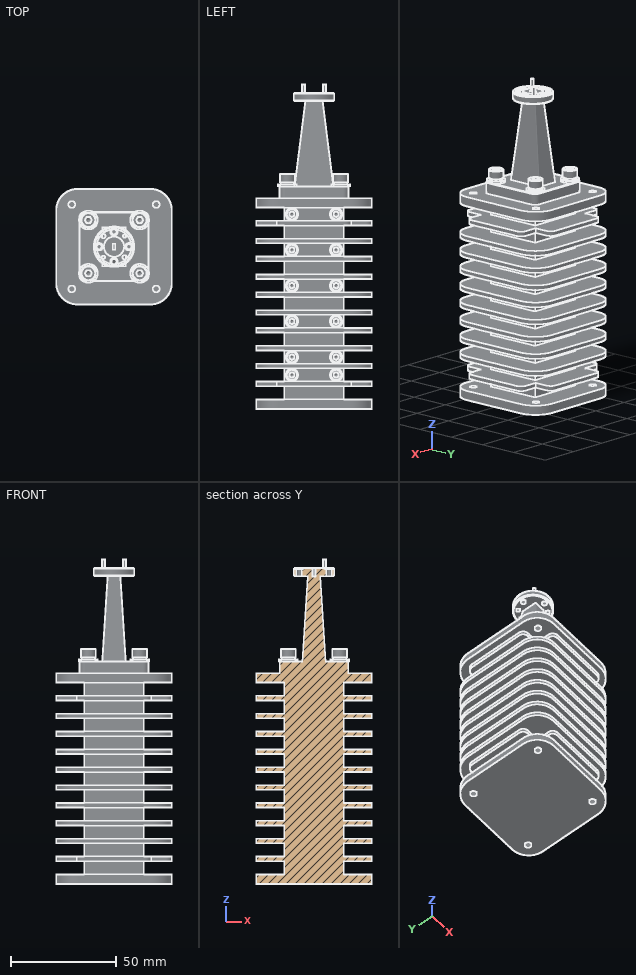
import cadquery as cq
import math

PLATE_WIDTH = 55.0
TOTAL_HEIGHT = 154.0

PLATE_THICKNESS = 4.6
PLATE_CORNER_RADIUS = 10.3
PLATE_HOLE_OFFSET = 20.0
PLATE_HOLE_DIAMETER = 3.2
COLUMN_WIDTH = 28.3
COLUMN_HEIGHT = 90.8

FIN_COUNT = 10
FIN_THICKNESS = 2.3
FIN_GAP = (COLUMN_HEIGHT - FIN_COUNT * FIN_THICKNESS) / (FIN_COUNT + 1)
FIN_PITCH = FIN_GAP + FIN_THICKNESS
NOTCH_OFFSET = 17.5
NOTCH_CORNER_RADIUS = 3.0

SIDE_SCREW_GAPS = (1, 2, 4, 6, 8, 10)
SIDE_SCREW_Y = 10.5
SIDE_BORE_DIAMETER = 5.8
SIDE_BORE_DEPTH = 3.1
SIDE_HEAD_DIAMETER = 4.8
SIDE_HEX_DIAMETER = 2.8
SIDE_HEX_DEPTH = 1.5

BLOCK_WIDTH = 33.0
BLOCK_HEIGHT = 5.5
BLOCK_CORNER_RADIUS = 2.8
BLOCK_CHAMFER = 0.3

CAP_SCREW_X = 12.2
CAP_SCREW_Y = 12.6
WASHER_DIAMETER = 9.0
WASHER_THICKNESS = 1.0
LOCK_WASHER_DIAMETER = 6.5
LOCK_WASHER_THICKNESS = 1.0
HEAD_DIAMETER = 7.1
HEAD_HEIGHT = 4.2
HEAD_CHAMFER = 0.3
HEX_DIAMETER = 3.4
HEX_DEPTH = 2.0

HEX_SIDES = 6
DRILL_POINT_ANGLE = 118

HORN_BASE_X = 11.2
HORN_BASE_Y = 18.5
HORN_TOP_X = 6.2
HORN_TOP_Y = 8.3
HORN_EDGE_RADIUS = 0.3

FLANGE_DIAMETER = 19.2
FLANGE_THICKNESS = 4.0
FLANGE_CHAMFER = 0.5
FACE_RECESS_DEPTH = 0.2
BOSS_DIAMETER = 9.5
RIM_INNER_DIAMETER = 16.5
HOLE_CIRCLE_RADIUS = 7.1
SCREW_HOLE_ANGLES = (0, 90, 180, 270)
SCREW_HOLE_DIAMETER = 2.5
COUNTERBORE_DIAMETER = 3.5
COUNTERBORE_DEPTH = 0.6
DOWEL_HOLE_ANGLES = (135, 315)
DOWEL_HOLE_DIAMETER = 2.0
PIN_ANGLES = (45, 225)
PIN_DIAMETER = 1.5
PIN_LENGTH = 4.0
APERTURE_X = 1.4
APERTURE_Y = 2.8

COLUMN_BOTTOM = PLATE_THICKNESS
COLUMN_TOP = COLUMN_BOTTOM + COLUMN_HEIGHT
BLOCK_BOTTOM = COLUMN_TOP + PLATE_THICKNESS
BLOCK_TOP = BLOCK_BOTTOM + BLOCK_HEIGHT
FLANGE_TOP = TOTAL_HEIGHT - PIN_LENGTH
FLANGE_BOTTOM = FLANGE_TOP - FLANGE_THICKNESS
FACE_BOTTOM = FLANGE_TOP - FACE_RECESS_DEPTH


def level(z):
    return cq.Workplane("XY").workplane(offset=z)


def corner_points(x, y):
    return [(x, y), (-x, y), (-x, -y), (x, -y)]


def rounded_square(width, thickness, radius, z):
    return level(z).rect(width, width).extrude(thickness).edges("|Z").fillet(radius)


def end_plate(z):
    plate = rounded_square(PLATE_WIDTH, PLATE_THICKNESS, PLATE_CORNER_RADIUS, z)
    holes = (
        level(z)
        .pushPoints(corner_points(PLATE_HOLE_OFFSET, PLATE_HOLE_OFFSET))
        .circle(PLATE_HOLE_DIAMETER / 2)
        .extrude(PLATE_THICKNESS)
    )
    return plate.cut(holes)


def notched_fin(z):
    """Cross-shaped fin: a square with its corners cut away to clear the plate holes."""
    arm_x = level(z).rect(PLATE_WIDTH, 2 * NOTCH_OFFSET).extrude(FIN_THICKNESS)
    arm_x = arm_x.edges("|Z").fillet(NOTCH_CORNER_RADIUS)
    arm_y = arm_x.rotate((0, 0, 0), (0, 0, 1), 90)
    return arm_x.union(arm_y)


def cooling_fin(index):
    z = COLUMN_BOTTOM + FIN_GAP + index * FIN_PITCH
    if index in (0, FIN_COUNT - 1):
        return notched_fin(z)
    return rounded_square(PLATE_WIDTH, FIN_THICKNESS, PLATE_CORNER_RADIUS, z)


def hex_socket(diameter, depth):
    """Cutter for a hexagonal socket with a drilled conical floor, opening upward at the origin."""
    cone_radius = diameter / 2 * math.cos(math.pi / HEX_SIDES)
    cone_height = cone_radius / math.tan(math.radians(DRILL_POINT_ANGLE / 2))
    hexagon = level(-depth).polygon(HEX_SIDES, diameter).extrude(depth)
    cone = cq.Solid.makeCone(
        cone_radius, 0, cone_height, pnt=cq.Vector(0, 0, -depth), dir=cq.Vector(0, 0, -1)
    )
    return hexagon.union(cq.Workplane(cone))


def side_screw_cuts():
    """Ring-shaped clearance and hexagonal socket of every recessed side screw."""
    ring = (
        level(-SIDE_BORE_DEPTH)
        .circle(SIDE_BORE_DIAMETER / 2)
        .circle(SIDE_HEAD_DIAMETER / 2)
        .extrude(SIDE_BORE_DEPTH)
    )
    screw_cut = ring.union(hex_socket(SIDE_HEX_DIAMETER, SIDE_HEX_DEPTH))
    screw_cut = screw_cut.rotate((0, 0, 0), (0, 1, 0), -90)
    cuts = cq.Workplane()
    for gap in SIDE_SCREW_GAPS:
        z = COLUMN_BOTTOM + FIN_GAP / 2 + gap * FIN_PITCH
        for y in (-SIDE_SCREW_Y, SIDE_SCREW_Y):
            cuts = cuts.add(screw_cut.translate((-COLUMN_WIDTH / 2, y, z)))
    return cuts.combine()


def cap_screw(x, y):
    screw = level(BLOCK_TOP).circle(WASHER_DIAMETER / 2).extrude(WASHER_THICKNESS)
    screw = screw.faces(">Z").workplane().circle(LOCK_WASHER_DIAMETER / 2).extrude(LOCK_WASHER_THICKNESS)
    screw = screw.faces(">Z").workplane().circle(HEAD_DIAMETER / 2).extrude(HEAD_HEIGHT)
    screw = screw.faces(">Z").edges().chamfer(HEAD_CHAMFER)
    head_top = BLOCK_TOP + WASHER_THICKNESS + LOCK_WASHER_THICKNESS + HEAD_HEIGHT
    screw = screw.cut(hex_socket(HEX_DIAMETER, HEX_DEPTH).translate((0, 0, head_top)))
    return screw.translate((x, y, 0))


def horn():
    return (
        level(BLOCK_TOP)
        .rect(HORN_BASE_X, HORN_BASE_Y)
        .workplane(offset=FLANGE_BOTTOM - BLOCK_TOP)
        .rect(HORN_TOP_X, HORN_TOP_Y)
        .loft(ruled=True)
        .edges("not(#Z)")
        .fillet(HORN_EDGE_RADIUS)
    )


def on_hole_circle(angle):
    turn = math.radians(angle)
    return (HOLE_CIRCLE_RADIUS * math.cos(turn), HOLE_CIRCLE_RADIUS * math.sin(turn))


def flange_cylinders(angles, diameter, z, height):
    points = [on_hole_circle(angle) for angle in angles]
    return level(z).pushPoints(points).circle(diameter / 2).extrude(height)


def waveguide_flange():
    flange = level(FLANGE_BOTTOM).circle(FLANGE_DIAMETER / 2).extrude(FLANGE_THICKNESS)
    flange = flange.edges().chamfer(FLANGE_CHAMFER)
    recess = (
        level(FACE_BOTTOM)
        .circle(RIM_INNER_DIAMETER / 2)
        .circle(BOSS_DIAMETER / 2)
        .extrude(FACE_RECESS_DEPTH)
    )
    screw_holes = flange_cylinders(SCREW_HOLE_ANGLES, SCREW_HOLE_DIAMETER, FLANGE_BOTTOM, FLANGE_THICKNESS)
    counterbores = flange_cylinders(
        SCREW_HOLE_ANGLES, COUNTERBORE_DIAMETER, FLANGE_TOP - COUNTERBORE_DEPTH, COUNTERBORE_DEPTH
    )
    dowel_holes = flange_cylinders(DOWEL_HOLE_ANGLES, DOWEL_HOLE_DIAMETER, FLANGE_BOTTOM, FLANGE_THICKNESS)
    aperture = level(FLANGE_BOTTOM).rect(APERTURE_X, APERTURE_Y).extrude(FLANGE_THICKNESS)
    for cut in (recess, screw_holes, counterbores, dowel_holes, aperture):
        flange = flange.cut(cut)
    pins = flange_cylinders(PIN_ANGLES, PIN_DIAMETER, FLANGE_BOTTOM, FLANGE_THICKNESS + PIN_LENGTH)
    return flange.union(pins)


column = level(COLUMN_BOTTOM).rect(COLUMN_WIDTH, COLUMN_WIDTH).extrude(COLUMN_HEIGHT)
result = column.cut(side_screw_cuts())
result = result.union(end_plate(0)).union(end_plate(COLUMN_TOP))
for fin_index in range(FIN_COUNT):
    result = result.union(cooling_fin(fin_index))

block = rounded_square(BLOCK_WIDTH, BLOCK_HEIGHT, BLOCK_CORNER_RADIUS, BLOCK_BOTTOM)
result = result.union(block.faces(">Z").edges().chamfer(BLOCK_CHAMFER))
for screw_x, screw_y in corner_points(CAP_SCREW_X, CAP_SCREW_Y):
    result = result.union(cap_screw(screw_x, screw_y))

result = result.union(horn()).union(waveguide_flange())